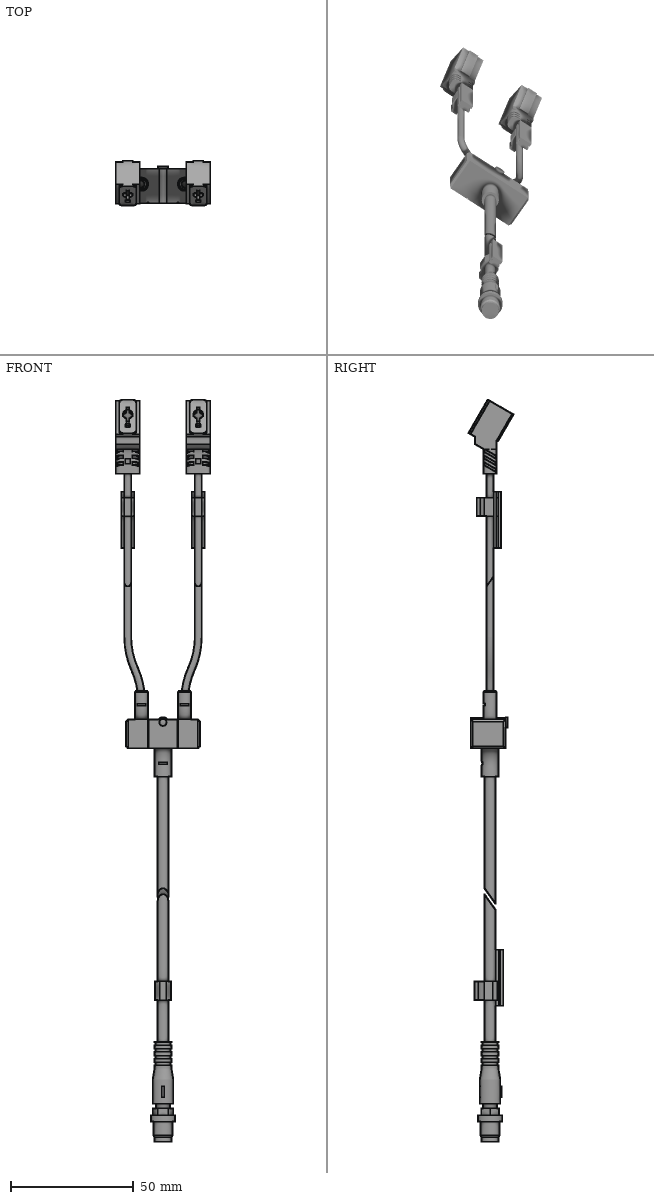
import cadquery as cq
import math

TOTAL_HEIGHT = 303.5
OVERALL_WIDTH = 39.0
SIDES = (-1, 1)

MAIN_CABLE_DIA = 4.5
BRANCH_CABLE_DIA = 2.9
BREAK_SLOPE = 1.4
MAIN_BREAK_UPPER_Z = 100.5
MAIN_BREAK_LOWER_Z = 98.0
BRANCH_BREAK_Z = 229.0

BLOCK_LENGTH = 30.5
BLOCK_BOTTOM_Z = 161.0
BLOCK_TOP_Z = 172.7
BLOCK_FRONT_Y = -8.0
BLOCK_BACK_Y = 6.5
BLOCK_END_CHAMFER = 1.0
PARTING_X = 6.0
PARTING_WIDTH = 0.45
PARTING_DEPTH = 0.3
ROD_DIA = 4.0
ROD_DIMPLE_DIA = 2.9
ROD_DIMPLE_DEPTH = 0.5
ROD_HEAD_DIA = 4.2
ROD_HEAD_THICKNESS = 1.0
ROD_AXIS_Z = BLOCK_TOP_Z - 1.2
SLEEVE_CHAMFER = 0.5
BRANCH_SLEEVE_DIA = 5.5
BRANCH_SLEEVE_X = 8.8
BRANCH_SLEEVE_TOP_Z = 184.5
BRANCH_SLOT_Z = 178.8
MAIN_SLEEVE_DIA = 7.0
MAIN_SLEEVE_BOTTOM_Z = 149.3
MAIN_SLOT_Z = 154.8
SLEEVE_SLOT_WIDTH = 3.5
SLEEVE_SLOT_HEIGHT = 1.0
SLEEVE_SLOT_DEPTH = 0.5
BEND_TOP_Z = 206.5
BEND_MIDDLE_Z = 193.3

SOCKET_WIDTH = 10.0
SOCKET_X = (OVERALL_WIDTH - SOCKET_WIDTH) / 2
SOCKET_TILT = math.radians(30)
FACE_NORMAL = (0, -math.cos(SOCKET_TILT), math.sin(SOCKET_TILT))
SOCKET_TOP_Y = -1.0
SOCKET_FACE_LENGTH = 15.8
SOCKET_DEPTH = 11.5
SOCKET_LIP_THICKNESS = 3.0
SOCKET_STEP = 3.0
BACK_RIB_WIDTH = 4.2
BACK_RIB_HEIGHT = 0.5
PAD_WIDTH = 7.0
PAD_LENGTH = SOCKET_FACE_LENGTH
PAD_CORNER = 1.5
PAD_HEIGHT = 1.0
CONTACT_DIA = 4.0
CONTACT_FROM_TOP = 7.0
CONTACT_SLOT_LENGTH = 6.7
CONTACT_SLOT_WIDTH = 1.2
SMALL_HOLE_DIA = 2.0
SMALL_HOLE_FROM_TOP = 12.0
CONTACT_DEPTH = 1.8

BOOT_DEPTH = 5.5
BOOT_BOTTOM_Z = 273.2
BOOT_TOP_Z = 285.5
BOOT_CORNER = 2.0
BOOT_GROOVE_COUNT = 3
BOOT_GROOVE_PITCH = 2.7
BOOT_GROOVE_WIDTH = 1.2
BOOT_GROOVE_DEPTH = 0.45
BOOT_FIRST_GROOVE_Z = 275.3
BOOT_PAD_WIDTH = 3.5
BOOT_NOTCH_SIZE = 2.0
BOOT_NOTCH_Z = 278.3

HOLDER_LENGTH = 23.0
HOLDER_GRIP_HEIGHT = 7.5
HOLDER_GRIP_INSET = 2.5
HOLDER_LIP_HALF_WIDTH = 1.37
HOLDER_GROOVE_WIDTH = 0.75
HOLDER_GROOVE_DEPTH = 0.5
BRANCH_HOLDER_Z = 242.8
MAIN_HOLDER_Z = 55.5
BRANCH_HOLDER_SIZES = {
    "cable_dia": BRANCH_CABLE_DIA,
    "plate_width": 5.5,
    "plate_back_y": 4.5,
    "half_width": 2.7,
    "neck_y": -2.5,
    "lip_y": -4.0,
    "front_y": -5.5,
}
MAIN_HOLDER_SIZES = {
    "cable_dia": MAIN_CABLE_DIA,
    "plate_width": 4.5,
    "plate_back_y": 5.5,
    "half_width": 3.3,
    "neck_y": -2.5,
    "lip_y": -5.0,
    "front_y": -6.5,
}

BOOT_RING_DIA = 7.0
RING_GROOVE_DEPTH = 0.35
RING_GROOVE_WIDTH = 1.2
RING_GROOVE_PITCH = 2.7
RING_GROOVE_COUNT = 4
RING_FIRST_GROOVE_Z = 31.3
CONNECTOR_TOP_Z = 41.0
COLLAR_TOP_Z = 30.0
GRIP_TOP_Z = 25.5
GRIP_BOTTOM_Z = 15.5
GRIP_DIA = 8.5
NECK_DIA = 5.8
NUT_TOP_Z = 13.7
NUT_ACROSS_CORNERS = 8.5
FLANGE_DIA = 10.0
FLANGE_TOP_Z = 11.0
FLANGE_BOTTOM_Z = 8.2
THREAD_DIA = 8.0
THREAD_BOTTOM_Z = 1.8
THREAD_LEAD_IN = 1.0
TIP_DIA = 7.0
MARK_WIDTH = 1.2
MARK_HEIGHT = 4.5
MARK_DEPTH = 0.45
MARK_Z = (GRIP_TOP_Z + GRIP_BOTTOM_Z) / 2

OVERSHOOT = 9.0
BREAK_REACH = 3 * OVERSHOOT


def box(x_range, y_range, z_range):
    """A box between the given limits."""
    size = [high - low for low, high in (x_range, y_range, z_range)]
    corner = (x_range[0], y_range[0], z_range[0])
    return cq.Workplane("XY").box(*size, centered=False).translate(corner)


def cylinder(diameter, z_range, x=0.0):
    """A vertical cylinder between two heights."""
    bottom, top = z_range
    return cq.Workplane("XY").center(x, 0).circle(diameter / 2).extrude(top - bottom).translate((0, 0, bottom))


def prism(yz_points, width, x=0.0):
    """A Y-Z outline extruded to a width centred on x."""
    return cq.Workplane("YZ").polyline(yz_points).close().extrude(width / 2, both=True).translate((x, 0, 0))


def slanted_space(x, z, slope, rise):
    """The space beyond a plane that crosses the axis at height z; a negative rise takes the space below."""
    left = (-OVERSHOOT, z - OVERSHOOT * slope)
    right = (OVERSHOOT, z + OVERSHOOT * slope)
    end_z = z + rise
    return prism([left, right, (OVERSHOOT, end_z), (-OVERSHOOT, end_z)], 2 * OVERSHOOT, x)


def sleeve_slot(x, diameter, z):
    """A crosswise slot in the front of a sleeve."""
    return box(
        (x - SLEEVE_SLOT_WIDTH / 2, x + SLEEVE_SLOT_WIDTH / 2),
        (-diameter, -diameter / 2 + SLEEVE_SLOT_DEPTH),
        (z - SLEEVE_SLOT_HEIGHT / 2, z + SLEEVE_SLOT_HEIGHT / 2),
    )


def splitter_block():
    block = box(
        (-BLOCK_LENGTH / 2, BLOCK_LENGTH / 2), (BLOCK_FRONT_Y, BLOCK_BACK_Y), (BLOCK_BOTTOM_Z, BLOCK_TOP_Z)
    )
    block = block.faces("<X or >X").chamfer(BLOCK_END_CHAMFER)
    for side in SIDES:
        x = side * PARTING_X
        block = block.cut(
            box(
                (x - PARTING_WIDTH / 2, x + PARTING_WIDTH / 2),
                (BLOCK_FRONT_Y, BLOCK_FRONT_Y + PARTING_DEPTH),
                (BLOCK_BOTTOM_Z, BLOCK_TOP_Z),
            )
        )
    front = cq.Workplane("XZ", origin=(0, BLOCK_FRONT_Y, ROD_AXIS_Z))
    rod = front.circle(ROD_DIA / 2).extrude(BLOCK_FRONT_Y - BLOCK_BACK_Y)
    back = cq.Workplane("XZ", origin=(0, BLOCK_BACK_Y, ROD_AXIS_Z))
    rod_head = back.circle(ROD_HEAD_DIA / 2).extrude(-ROD_HEAD_THICKNESS)
    dimple = front.circle(ROD_DIMPLE_DIA / 2).extrude(-ROD_DIMPLE_DEPTH)
    return block.union(rod).union(rod_head).cut(dimple)


def branch_cable(side):
    """The S-shaped cable from the block up to the slanted break."""
    start_x = side * BRANCH_SLEEVE_X
    end_x = side * SOCKET_X
    middle_x = (start_x + end_x) / 2
    bend_bottom_z = 2 * BEND_MIDDLE_Z - BEND_TOP_Z
    straight_top_z = BRANCH_BREAK_Z + OVERSHOOT
    path = (
        cq.Workplane("XZ")
        .moveTo(start_x, BLOCK_TOP_Z)
        .lineTo(start_x, bend_bottom_z)
        .tangentArcPoint((middle_x, BEND_MIDDLE_Z), relative=False)
        .tangentArcPoint((end_x, BEND_TOP_Z), relative=False)
        .lineTo(end_x, straight_top_z)
    )
    section = cq.Workplane("XY", origin=(start_x, 0, BLOCK_TOP_Z)).circle(BRANCH_CABLE_DIA / 2)
    return section.sweep(path).cut(slanted_space(end_x, BRANCH_BREAK_Z, BREAK_SLOPE, BREAK_REACH))


def make_splitter():
    splitter = splitter_block()
    for side in SIDES:
        x = side * BRANCH_SLEEVE_X
        sleeve = cylinder(BRANCH_SLEEVE_DIA, (BLOCK_TOP_Z, BRANCH_SLEEVE_TOP_Z), x)
        sleeve = sleeve.faces(">Z").chamfer(SLEEVE_CHAMFER)
        sleeve = sleeve.cut(sleeve_slot(x, BRANCH_SLEEVE_DIA, BRANCH_SLOT_Z))
        splitter = splitter.union(sleeve).union(branch_cable(side))
    sleeve = cylinder(MAIN_SLEEVE_DIA, (MAIN_SLEEVE_BOTTOM_Z, BLOCK_BOTTOM_Z))
    sleeve = sleeve.cut(sleeve_slot(0, MAIN_SLEEVE_DIA, MAIN_SLOT_Z))
    cable = cylinder(MAIN_CABLE_DIA, (MAIN_BREAK_UPPER_Z - OVERSHOOT, BLOCK_BOTTOM_Z))
    cable = cable.cut(slanted_space(0, MAIN_BREAK_UPPER_Z, -BREAK_SLOPE, -BREAK_REACH))
    return splitter.union(sleeve).union(cable)


def socket_point(along, inward):
    """Y and Z of a point given along the sloping pad from its top, and inward from its surface."""
    y = SOCKET_TOP_Y - along * math.sin(SOCKET_TILT) + inward * math.cos(SOCKET_TILT)
    z = TOTAL_HEIGHT - along * math.cos(SOCKET_TILT) - inward * math.sin(SOCKET_TILT)
    return (y, z)


def socket_body():
    lip_corner = socket_point(SOCKET_FACE_LENGTH, SOCKET_LIP_THICKNESS)
    step_corner = (lip_corner[0], lip_corner[1] - SOCKET_STEP)
    boot_front_y = -BOOT_DEPTH / 2
    boot_front_z = step_corner[1] - (boot_front_y - step_corner[0]) * math.tan(SOCKET_TILT)
    back_corner = socket_point(0, SOCKET_DEPTH)
    boot_back_y = BOOT_DEPTH / 2
    back_end_along = (back_corner[0] - boot_back_y) / math.sin(SOCKET_TILT)
    outline = [
        socket_point(0, PAD_HEIGHT),
        back_corner,
        socket_point(back_end_along, SOCKET_DEPTH),
        (boot_back_y, boot_front_z),
        (boot_front_y, boot_front_z),
        step_corner,
        lip_corner,
        socket_point(SOCKET_FACE_LENGTH, PAD_HEIGHT),
    ]
    body = prism(outline, SOCKET_WIDTH)
    rib_outline = [
        back_corner,
        socket_point(0, SOCKET_DEPTH + BACK_RIB_HEIGHT),
        socket_point(back_end_along, SOCKET_DEPTH + BACK_RIB_HEIGHT),
        socket_point(back_end_along, SOCKET_DEPTH),
    ]
    return body.union(prism(rib_outline, BACK_RIB_WIDTH))


def face_plane(along):
    """A workplane at the outer surface of the contact pad, its local y running up the slope."""
    y, z = socket_point(along, 0)
    return cq.Workplane(cq.Plane(origin=(0, y, z), xDir=(1, 0, 0), normal=FACE_NORMAL))


def contact_pad():
    """The raised pad with rounded corners on the sloping face, as long as that face."""
    pad = face_plane(PAD_LENGTH / 2).rect(PAD_WIDTH, PAD_LENGTH).extrude(-PAD_HEIGHT)
    return pad.edges(cq.selectors.ParallelDirSelector(cq.Vector(*FACE_NORMAL))).fillet(PAD_CORNER)


def contact_holes():
    """The slotted main hole and the small hole sunk into the pad."""
    contact = face_plane(CONTACT_FROM_TOP).circle(CONTACT_DIA / 2).extrude(-CONTACT_DEPTH)
    slot = face_plane(CONTACT_FROM_TOP).rect(CONTACT_SLOT_WIDTH, CONTACT_SLOT_LENGTH).extrude(-CONTACT_DEPTH)
    small_hole = face_plane(SMALL_HOLE_FROM_TOP).circle(SMALL_HOLE_DIA / 2).extrude(-CONTACT_DEPTH)
    return contact.union(slot).union(small_hole)


def boot_block(shrink):
    """The rounded boot, made smaller all round by the given amount."""
    half_width = SOCKET_WIDTH / 2 - shrink
    half_depth = BOOT_DEPTH / 2 - shrink
    block = box((-half_width, half_width), (-half_depth, half_depth), (BOOT_BOTTOM_Z, BOOT_TOP_Z))
    return block.edges("|Z").fillet(BOOT_CORNER - shrink)


def boot():
    """The flat boot with slanted grooves that stop at a pad in the middle of its faces."""
    pad = box(
        (-BOOT_PAD_WIDTH / 2, BOOT_PAD_WIDTH / 2), (-BOOT_DEPTH / 2, BOOT_DEPTH / 2), (BOOT_BOTTOM_Z, BOOT_TOP_Z)
    )
    core = boot_block(BOOT_GROOVE_DEPTH).union(pad)
    shell = boot_block(0)
    reach = BOOT_DEPTH
    rise = reach * math.tan(SOCKET_TILT)
    for index in range(BOOT_GROOVE_COUNT):
        z = BOOT_FIRST_GROOVE_Z + index * BOOT_GROOVE_PITCH
        slab_outline = [
            (-reach, z + rise),
            (reach, z - rise),
            (reach, z - rise + BOOT_GROOVE_WIDTH),
            (-reach, z + rise + BOOT_GROOVE_WIDTH),
        ]
        shell = shell.cut(prism(slab_outline, 2 * SOCKET_WIDTH))
    half_notch = BOOT_NOTCH_SIZE / 2
    notch = box(
        (-half_notch, half_notch),
        (-BOOT_DEPTH, -BOOT_DEPTH / 2 + BOOT_GROOVE_DEPTH),
        (BOOT_NOTCH_Z - half_notch, BOOT_NOTCH_Z + half_notch),
    )
    return core.union(shell).cut(notch)


def make_socket(side):
    cable = cylinder(BRANCH_CABLE_DIA, (BRANCH_BREAK_Z - OVERSHOOT, BOOT_BOTTOM_Z))
    cable = cable.cut(slanted_space(0, BRANCH_BREAK_Z, BREAK_SLOPE, -BREAK_REACH))
    socket = socket_body().union(contact_pad()).cut(contact_holes()).union(boot()).union(cable)
    return socket.translate((side * SOCKET_X, 0, 0))


def make_label_holder(cable_dia, plate_width, plate_back_y, half_width, neck_y, lip_y, front_y):
    """A label plate behind the cable and a closed grip round it near the top end of the plate.

    The grip reaches half_width to each side, narrows from neck_y to lip_y and ends in a lip at front_y.
    """
    plate_front_y = cable_dia / 2
    shoulder_y = plate_front_y / 2
    plate_middle_y = (plate_front_y + plate_back_y) / 2
    plate = box((-plate_width / 2, plate_width / 2), (plate_front_y, plate_back_y), (0, HOLDER_LENGTH))
    for side in SIDES:
        edge_x = side * plate_width / 2
        plate = plate.cut(
            box(
                (edge_x - HOLDER_GROOVE_DEPTH, edge_x + HOLDER_GROOVE_DEPTH),
                (plate_middle_y - HOLDER_GROOVE_WIDTH / 2, plate_middle_y + HOLDER_GROOVE_WIDTH / 2),
                (0, HOLDER_LENGTH),
            )
        )
    right_side = [
        (plate_width / 2 - HOLDER_GROOVE_DEPTH, plate_middle_y),
        (half_width, shoulder_y),
        (half_width, neck_y),
        (HOLDER_LIP_HALF_WIDTH, lip_y),
        (HOLDER_LIP_HALF_WIDTH, front_y),
    ]
    left_side = [(-x, y) for x, y in reversed(right_side)]
    grip_bottom_z = HOLDER_LENGTH - HOLDER_GRIP_INSET - HOLDER_GRIP_HEIGHT
    grip = cq.Workplane("XY").polyline(right_side + left_side).close().extrude(HOLDER_GRIP_HEIGHT)
    holder = plate.union(grip.translate((0, 0, grip_bottom_z)))
    return holder.cut(cylinder(cable_dia, (0, HOLDER_LENGTH)))


def make_branch_holder(side):
    holder = make_label_holder(**BRANCH_HOLDER_SIZES)
    return holder.translate((side * SOCKET_X, 0, BRANCH_HOLDER_Z))


def make_main_holder():
    """The larger holder, turned so that its grip is at the lower end."""
    holder = make_label_holder(**MAIN_HOLDER_SIZES)
    return holder.mirror("XY").translate((0, 0, MAIN_HOLDER_Z + HOLDER_LENGTH))


def connector_shell():
    """The turned parts of the connector as one revolved outline."""
    outline = [
        (0, 0),
        (TIP_DIA / 2, 0),
        (TIP_DIA / 2, THREAD_BOTTOM_Z),
        (THREAD_DIA / 2, THREAD_BOTTOM_Z + THREAD_LEAD_IN),
        (THREAD_DIA / 2, FLANGE_BOTTOM_Z),
        (FLANGE_DIA / 2, FLANGE_BOTTOM_Z),
        (FLANGE_DIA / 2, FLANGE_TOP_Z),
        (NECK_DIA / 2, FLANGE_TOP_Z),
        (NECK_DIA / 2, GRIP_BOTTOM_Z),
        (GRIP_DIA / 2, GRIP_BOTTOM_Z),
        (GRIP_DIA / 2, GRIP_TOP_Z),
        (BOOT_RING_DIA / 2, COLLAR_TOP_Z),
        (BOOT_RING_DIA / 2, CONNECTOR_TOP_Z),
        (0, CONNECTOR_TOP_Z),
    ]
    return cq.Workplane("XZ").polyline(outline).close().revolve(360, (0, 0, 0), (0, 1, 0))


def ring_grooves():
    """The evenly spaced grooves of the strain-relief boot."""
    floor_dia = BOOT_RING_DIA - 2 * RING_GROOVE_DEPTH
    rings = cq.Workplane("XY")
    for index in range(RING_GROOVE_COUNT):
        bottom = RING_FIRST_GROOVE_Z + index * RING_GROOVE_PITCH
        z_range = (bottom, bottom + RING_GROOVE_WIDTH)
        rings = rings.add(cylinder(FLANGE_DIA, z_range).cut(cylinder(floor_dia, z_range)))
    return rings.combine()


def make_connector():
    connector = connector_shell().cut(ring_grooves())
    nut = cq.Workplane("XY").polygon(6, NUT_ACROSS_CORNERS).extrude(NUT_TOP_Z - FLANGE_TOP_Z)
    connector = connector.union(nut.translate((0, 0, FLANGE_TOP_Z)))
    mark_x = (-MARK_WIDTH / 2, MARK_WIDTH / 2)
    mark_z = (MARK_Z - MARK_HEIGHT / 2, MARK_Z + MARK_HEIGHT / 2)
    front_mark = box(mark_x, (-GRIP_DIA, -GRIP_DIA / 2 + MARK_DEPTH), mark_z)
    back_key = box(mark_x, (0, GRIP_DIA / 2 + MARK_DEPTH), mark_z)
    connector = connector.cut(front_mark).union(back_key)
    cable = cylinder(MAIN_CABLE_DIA, (CONNECTOR_TOP_Z, MAIN_BREAK_LOWER_Z + OVERSHOOT))
    cable = cable.cut(slanted_space(0, MAIN_BREAK_LOWER_Z, -BREAK_SLOPE, BREAK_REACH))
    return connector.union(cable)


splitter = make_splitter()
sockets = [make_socket(side).val() for side in SIDES]
branch_holders = [make_branch_holder(side).val() for side in SIDES]
main_holder = make_main_holder()
connector = make_connector()

result = cq.Compound.makeCompound(
    [splitter.val(), *sockets, *branch_holders, main_holder.val(), connector.val()]
)